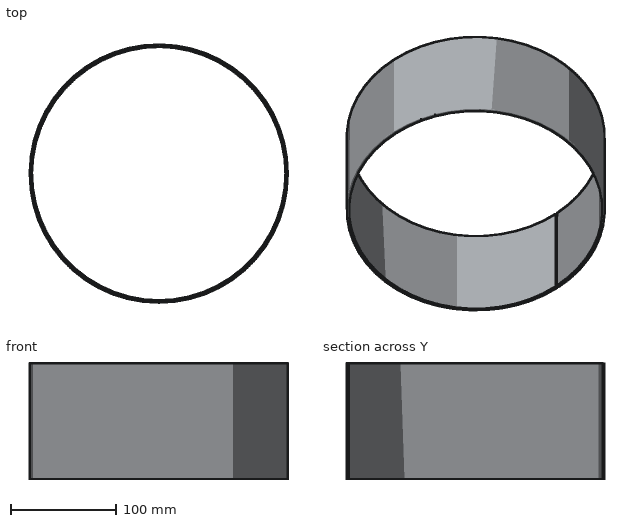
import cadquery as cq

outer_diameter = 245.0
wall = 2.5
height = 110.0
rim_fillet = 0.5
slit_width = 2.0

outer_radius = outer_diameter / 2
inner_radius = outer_radius - wall

ring = cq.Workplane("XY").circle(outer_radius).extrude(height)
ring = ring.faces("<Z or >Z").edges().fillet(rim_fillet)
bore = cq.Workplane("XY").circle(inner_radius).extrude(height)
ring = ring.cut(bore)

slit_length = 4 * wall
slit = (
    cq.Workplane("XY")
    .center(-outer_radius, slit_width / 2)
    .rect(slit_length, slit_width)
    .extrude(height)
)

result = ring.cut(slit)